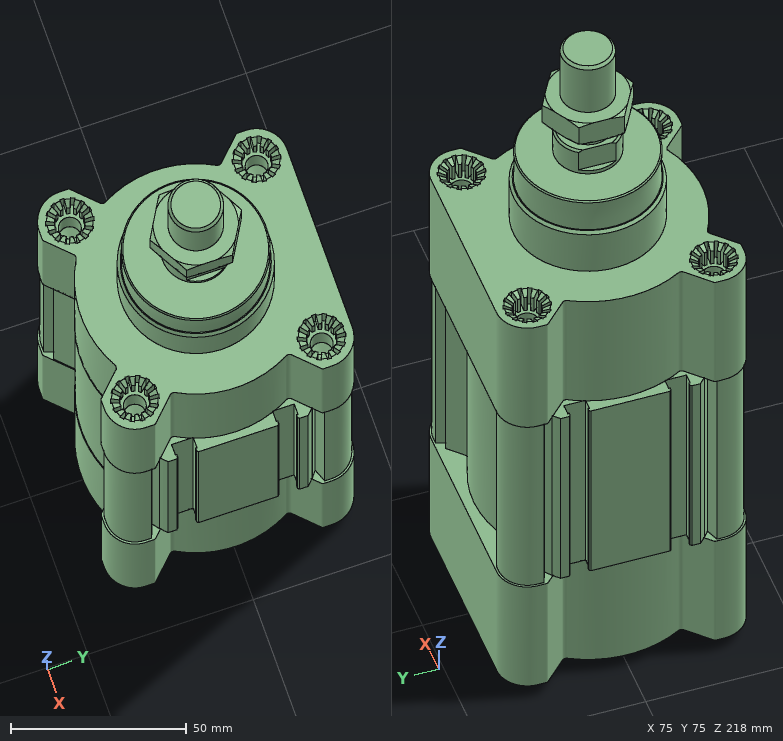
import cadquery as cq
import math

SPIGOT_HEIGHT = 4.4
TUBE_BOTTOM = 44.7
TUBE_TOP = 109.7
CAP_TOP = 150.0
COLLAR_TOP = 165.8
WIPER_TOP = 177.0
ROD_SHOULDER = 186.0
NUT_BOTTOM = 192.1
NUT_HEIGHT = 7.9
ROD_TOP = 218.0

CAP_HALF = 37.5
SCREW_OFFSET = 28.25
CAP_BARREL_RADIUS = 34.7
CAP_FLAT_END = 25.3
CAP_FLAT_FILLET = 0.9
CAP_ROOT_FILLET = 1.3

WEB_END = 13.0

TUBE_HALF = 36.9
TUBE_BARREL_RADIUS = 34.5
TUBE_FLAT_END = 26.2
TUBE_WEB_SHIFT = 11.8
TUBE_ROOT_FILLET = 2.0
NOTCH_FLOOR_AT = 24.6
NOTCH_DEPTH = 4.0
NOTCH_RIM_AT = 23.1
FLANGE_EDGE_AT = 21.2
FLANGE_CHAMFER = 1.0
SLOT_CENTRE = 15.3
SLOT_MOUTH_WIDTH = 5.7
SLOT_WIDTH = 6.5
SLOT_LIP = 1.3
SLOT_DEPTH = 4.5
SLOT_MOUTH_CHAMFER = 0.5

COLLAR_DIAMETER = 45.0
COLLAR_CHAMFER = 0.9
WIPER_DIAMETER = 42.5
WIPER_WAIST = 0.2
WIPER_CHAMFER = 0.5
SPIGOT_NECK_DIAMETER = 43.5
SPIGOT_ROUND_HEIGHT = 1.7
SPIGOT_CHAMFER = 0.7

SPLINE_ROOT_DIAMETER = 14.0
SPLINE_CREST_DIAMETER = 8.7
SPLINE_MOUTH_DIAMETER = 13.3
SPLINE_MOUTH_SLOPE = 30.0
SPLINE_DEPTH = 6.5
SPLINE_SLOTS = 14
SLOT_SHARE_AT_ROOT = 0.4
SLOT_SHARE_AT_CREST = 0.5
THREAD_HOLE_DIAMETER = 6.5
THREAD_HOLE_DEPTH = 15.3
DRILL_POINT_ANGLE = 118.0

ROD_DIAMETER = 20.0
ROD_CHAMFER = 0.7
ROD_SEAT = CAP_TOP
THREAD_DIAMETER = 16.0
THREAD_CHAMFER = 0.9
NECK_BASE_DIAMETER = 14.5
NECK_TOP_DIAMETER = 13.7
NECK_TOP = 188.7
THREAD_RUNOUT_TOP = 191.3
FLAT_WIDTH = 16.5
FLAT_BOTTOM = 178.5

NUT_ACROSS_FLATS = 24.0
NUT_FACE_DIAMETER = 24.5
NUT_CHAMFER_ANGLE = 20.0
HEXAGON_TURN = 30.0


def disc(diameter, bottom, top):
    return cq.Workplane("XY").workplane(offset=bottom).circle(diameter / 2).extrude(top - bottom)


EDGE_TOLERANCE = 0.02


def edges_at_radius(body, radius):
    """Upright edges of a body at one distance from the Z axis."""
    edges = body.edges("|Z").vals()
    return [edge for edge in edges if abs(math.hypot(edge.Center().x, edge.Center().y) - radius) < EDGE_TOLERANCE]


def clover_boss(half, bottom, top, outline):
    """Corner boss in the +X +Y quadrant: a rounded block with webs running in to the barrel.

    `outline` lists the points from the end of the boss flat at x = half to the point on the
    diagonal; the other side is its mirror image.
    """
    radius = half - SCREW_OFFSET
    middle = SCREW_OFFSET + radius * math.sqrt(0.5)
    boss = (
        cq.Workplane("XY")
        .workplane(offset=bottom)
        .moveTo(half, SCREW_OFFSET)
        .threePointArc((middle, middle), (SCREW_OFFSET, half))
    )
    for x, y in outline:
        boss = boss.lineTo(y, x)
    boss = boss.lineTo(0, 0)
    for x, y in reversed(outline):
        boss = boss.lineTo(x, y)
    return boss.close().extrude(top - bottom)


def clover(half, barrel_radius, root_fillet, bottom, top, outline):
    """Round barrel with a boss on each corner and filleted roots between them."""
    body = disc(2 * barrel_radius, bottom, top)
    for turn in range(4):
        boss = clover_boss(half, bottom, top, outline)
        body = body.union(boss.rotate((0, 0, 0), (0, 0, 1), 90 * turn))
    return body.newObject(edges_at_radius(body, barrel_radius)).fillet(root_fillet)


def end_cap(bottom, top):
    web_shift = CAP_HALF - CAP_FLAT_END
    outline = [(CAP_HALF, CAP_FLAT_END), (WEB_END + web_shift, WEB_END)]
    cap = clover(CAP_HALF, CAP_BARREL_RADIUS, CAP_ROOT_FILLET, bottom, top, outline)
    corner = math.hypot(CAP_HALF, CAP_FLAT_END)
    cap = cap.newObject(edges_at_radius(cap, corner)).fillet(CAP_FLAT_FILLET)
    port_side = (
        cq.Workplane("XY")
        .workplane(offset=bottom)
        .rect(2 * SCREW_OFFSET, CAP_HALF, centered=(True, False))
        .extrude(top - bottom)
    )
    return cap.union(port_side)


def sensor_flange():
    """Flat +X side of the tube, before its slots are cut."""
    rim = TUBE_HALF - FLANGE_CHAMFER
    inner = TUBE_BARREL_RADIUS / 2
    edge = FLANGE_EDGE_AT
    corner = edge + FLANGE_CHAMFER
    notch_x = TUBE_HALF - NOTCH_DEPTH
    return (
        cq.Workplane("XY")
        .workplane(offset=TUBE_BOTTOM)
        .polyline(
            [
                (inner, -edge), (notch_x, -NOTCH_FLOOR_AT), (rim, -corner), (TUBE_HALF, -edge),
                (TUBE_HALF, edge), (rim, corner), (notch_x, NOTCH_FLOOR_AT), (inner, edge),
            ]
        )
        .close()
        .extrude(TUBE_TOP - TUBE_BOTTOM)
    )


def sensor_slots():
    """T-slots of the +X flange, each with a chamfered mouth."""
    mouth = SLOT_MOUTH_WIDTH / 2
    flare = mouth + SLOT_MOUTH_CHAMFER
    chamber = SLOT_WIDTH / 2
    upper_half = [
        (TUBE_HALF, flare),
        (TUBE_HALF - SLOT_MOUTH_CHAMFER, mouth),
        (TUBE_HALF - SLOT_LIP, mouth),
        (TUBE_HALF - SLOT_LIP, chamber),
        (TUBE_HALF - SLOT_DEPTH, chamber),
    ]
    lower_half = [(x, -y) for x, y in reversed(upper_half)]
    slot = (
        cq.Workplane("XY")
        .workplane(offset=TUBE_BOTTOM)
        .polyline(upper_half + lower_half)
        .close()
        .extrude(TUBE_TOP - TUBE_BOTTOM)
    )
    return slot.translate((0, SLOT_CENTRE, 0)).union(slot.translate((0, -SLOT_CENTRE, 0)))


def tube():
    outline = [
        (TUBE_HALF, TUBE_FLAT_END),
        (TUBE_HALF - NOTCH_DEPTH, NOTCH_FLOOR_AT),
        (NOTCH_RIM_AT + TUBE_WEB_SHIFT, NOTCH_RIM_AT),
        (WEB_END + TUBE_WEB_SHIFT, WEB_END),
    ]
    body = clover(TUBE_HALF, TUBE_BARREL_RADIUS, TUBE_ROOT_FILLET, TUBE_BOTTOM, TUBE_TOP, outline)
    for angle in (0, 180):
        body = body.union(sensor_flange().rotate((0, 0, 0), (0, 0, 1), angle))
        body = body.cut(sensor_slots().rotate((0, 0, 0), (0, 0, 1), angle))
    return body


def wiper_ring():
    radius = WIPER_DIAMETER / 2
    return (
        cq.Workplane("XZ")
        .moveTo(0, COLLAR_TOP)
        .lineTo(radius, COLLAR_TOP)
        .threePointArc(
            (radius - WIPER_WAIST, (COLLAR_TOP + WIPER_TOP) / 2),
            (radius, WIPER_TOP - WIPER_CHAMFER),
        )
        .lineTo(radius - WIPER_CHAMFER, WIPER_TOP)
        .lineTo(0, WIPER_TOP)
        .close()
        .revolve()
    )


def spigot():
    """Rear spigot, rounding in where it meets the cap."""
    radius = COLLAR_DIAMETER / 2
    return (
        cq.Workplane("XZ")
        .moveTo(0, 0)
        .lineTo(radius - SPIGOT_CHAMFER, 0)
        .lineTo(radius, SPIGOT_CHAMFER)
        .lineTo(radius, SPIGOT_HEIGHT - SPIGOT_ROUND_HEIGHT)
        .tangentArcPoint((SPIGOT_NECK_DIAMETER / 2, SPIGOT_HEIGHT), relative=False)
        .lineTo(0, SPIGOT_HEIGHT)
        .close()
        .revolve()
    )


def spline_socket():
    """Socket with straight slots spread evenly round its wall, open at the cap face."""
    pitch = 2 * math.pi / SPLINE_SLOTS
    crest = SPLINE_CREST_DIAMETER / 2
    root = SPLINE_ROOT_DIAMETER / 2
    crest_turn = pitch * SLOT_SHARE_AT_CREST / 2
    root_turn = pitch * SLOT_SHARE_AT_ROOT / 2
    points = []
    for slot in range(SPLINE_SLOTS):
        middle = slot * pitch
        for radius, angle in (
            (crest, middle - crest_turn),
            (root, middle - root_turn),
            (root, middle + root_turn),
            (crest, middle + crest_turn),
        ):
            points.append((radius * math.cos(angle), radius * math.sin(angle)))
    floor = CAP_TOP - SPLINE_DEPTH
    return cq.Workplane("XY").workplane(offset=floor).polyline(points).close().extrude(SPLINE_DEPTH)


def socket_mouth():
    """Shallow countersink that slopes the tops of the spline teeth down to their crests."""
    mouth = SPLINE_MOUTH_DIAMETER / 2
    crest = SPLINE_CREST_DIAMETER / 2
    drop = (mouth - crest) * math.tan(math.radians(SPLINE_MOUTH_SLOPE))
    return (
        cq.Workplane("XZ")
        .polyline([(0, CAP_TOP - drop), (crest, CAP_TOP - drop), (mouth, CAP_TOP), (0, CAP_TOP)])
        .close()
        .revolve()
    )


def threaded_hole():
    """Round hole under the socket, ending in a drill point."""
    radius = THREAD_HOLE_DIAMETER / 2
    floor = CAP_TOP - THREAD_HOLE_DEPTH
    tip = floor - radius / math.tan(math.radians(DRILL_POINT_ANGLE / 2))
    return (
        cq.Workplane("XZ")
        .polyline([(0, tip), (radius, floor), (radius, CAP_TOP), (0, CAP_TOP)])
        .close()
        .revolve()
    )


def cut_screw_sockets(body):
    socket = spline_socket().union(socket_mouth()).union(threaded_hole())
    for x in (-SCREW_OFFSET, SCREW_OFFSET):
        for y in (-SCREW_OFFSET, SCREW_OFFSET):
            body = body.cut(socket.translate((x, y, 0)))
    return body


def build_housing():
    body = end_cap(SPIGOT_HEIGHT, TUBE_BOTTOM)
    body = body.union(tube())
    body = body.union(end_cap(TUBE_TOP, CAP_TOP))
    collar = disc(COLLAR_DIAMETER, CAP_TOP, COLLAR_TOP)
    body = body.union(collar.edges(">Z").chamfer(COLLAR_CHAMFER))
    body = body.union(wiper_ring())
    body = body.union(spigot())
    body = cut_screw_sockets(body)
    return body.cut(disc(ROD_DIAMETER, ROD_SEAT, WIPER_TOP))


def build_piston_rod():
    rod = ROD_DIAMETER / 2
    thread = THREAD_DIAMETER / 2
    turned = (
        cq.Workplane("XZ")
        .polyline(
            [
                (0, ROD_SEAT), (rod, ROD_SEAT), (rod, ROD_SHOULDER - ROD_CHAMFER),
                (rod - ROD_CHAMFER, ROD_SHOULDER), (NECK_BASE_DIAMETER / 2, ROD_SHOULDER),
                (NECK_TOP_DIAMETER / 2, NECK_TOP),
                (thread, THREAD_RUNOUT_TOP), (thread, ROD_TOP - THREAD_CHAMFER),
                (thread - THREAD_CHAMFER, ROD_TOP), (0, ROD_TOP),
            ]
        )
        .close()
        .revolve()
    )
    for side in (-1, 1):
        flat = (
            cq.Workplane("XY")
            .box(ROD_DIAMETER, ROD_DIAMETER, ROD_SHOULDER - FLAT_BOTTOM, centered=(True, True, False))
            .translate((side * (FLAT_WIDTH + ROD_DIAMETER) / 2, 0, FLAT_BOTTOM))
        )
        turned = turned.cut(flat)
    return turned


def build_lock_nut():
    across_corners = NUT_ACROSS_FLATS / math.cos(math.radians(HEXAGON_TURN))
    top = NUT_BOTTOM + NUT_HEIGHT
    hexagon = (
        cq.Workplane("XY")
        .workplane(offset=NUT_BOTTOM)
        .transformed(rotate=(0, 0, HEXAGON_TURN))
        .polygon(6, across_corners)
        .extrude(NUT_HEIGHT)
    )
    corner = across_corners / 2
    face = NUT_FACE_DIAMETER / 2
    drop = (corner - face) * math.tan(math.radians(NUT_CHAMFER_ANGLE))
    turned_blank = (
        cq.Workplane("XZ")
        .polyline(
            [
                (0, NUT_BOTTOM), (face, NUT_BOTTOM), (corner, NUT_BOTTOM + drop),
                (corner, top - drop), (face, top), (0, top),
            ]
        )
        .close()
        .revolve()
    )
    return hexagon.intersect(turned_blank).cut(disc(THREAD_DIAMETER, NUT_BOTTOM, top))


housing = build_housing()
piston_rod = build_piston_rod()
lock_nut = build_lock_nut()

result = cq.Compound.makeCompound([housing.val(), piston_rod.val(), lock_nut.val()])